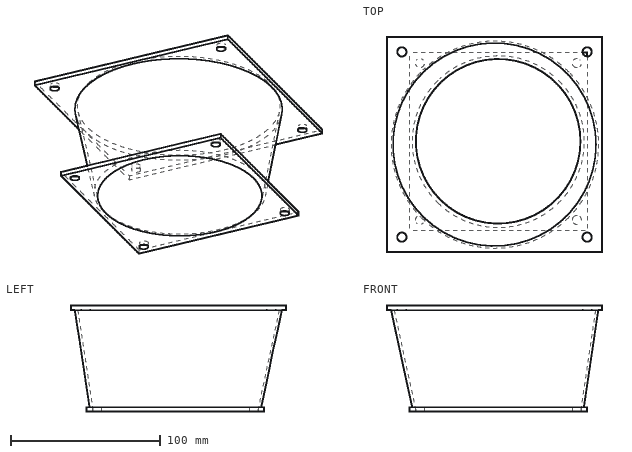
import cadquery as cq

height = 71.0
plate_thickness = 3.0
wall = 2.0
hole_diameter = 6.0

top_side = 144.0
top_duct_diameter = 140.0
top_hole_spacing = 124.0

bottom_side = 119.0
bottom_duct_diameter = 114.0
bottom_hole_spacing = 105.0
offset_x = 2.5
offset_y = 2.2


def flange(side, hole_spacing, center, base_z):
    """Square plate with a screw hole near each corner."""
    return (
        cq.Workplane("XY", origin=(*center, base_z))
        .rect(side, side)
        .extrude(plate_thickness)
        .faces(">Z")
        .workplane(origin=(*center, base_z))
        .rect(hole_spacing, hole_spacing, forConstruction=True)
        .vertices()
        .hole(hole_diameter)
    )


def oblique_cone(bottom_diameter, top_diameter):
    """Full-height cone joining the two flange centres."""
    return (
        cq.Workplane("XY", origin=(offset_x, offset_y, 0))
        .circle(bottom_diameter / 2)
        .workplane(offset=height, origin=(0, 0, 0))
        .circle(top_diameter / 2)
        .loft(ruled=True)
    )


bottom_flange = flange(bottom_side, bottom_hole_spacing, (offset_x, offset_y), 0)
top_flange = flange(top_side, top_hole_spacing, (0, 0), height - plate_thickness)
outer_cone = oblique_cone(bottom_duct_diameter, top_duct_diameter)
bore = oblique_cone(bottom_duct_diameter - 2 * wall, top_duct_diameter - 2 * wall)

result = outer_cone.union(bottom_flange).union(top_flange).cut(bore)